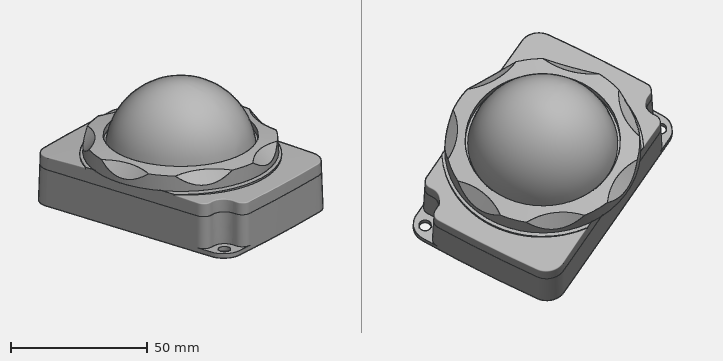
import cadquery as cq
import math

LENGTH = 91.5
WIDTH = 63.1
END_BOW = 0.8
CORNER_RADIUS = 7.3
BOX_HEIGHT = 22.0
DRAFT_ANGLE = 1.5
PARTING_Z = 14.5
EAR_THICKNESS = 1.8
ROOF_MID_Z = 20.1
ROOF_END_Z = 19.0
ROOF_EDGE_RADIUS = 0.4
PAD_RADIUS = 37.1

SCREW_X = 40.0
SCREW_Y = 26.45
SCREW_HOLE_DIAMETER = 4.6
NOTCH_RADIUS = 4.85
NOTCH_LIP_RADIUS = 3.5
LIP_SEARCH_REACH = 1.4

DOME_RADIUS = 27.8
TOP_Z = 49.0
NECK_DIAMETER = 61.95
RING_DIAMETER = 72.0
RING_TOP_DIAMETER = 71.2
RING_BOTTOM_Z = 20.9
RING_RIM_Z = 26.8
RING_LIP_Z = 27.5
RING_BORE_DIAMETER = 56.9
GROOVE_FLOOR_Z = 25.1

GRIP_COUNT = 7
GRIP_RADIUS = 41.2
GRIP_SLOPE = 45.0
GRIP_LENGTH = 18.3
GRIP_RIM_Z = 22.7

half_length = LENGTH / 2
half_width = WIDTH / 2
end_x = half_length - END_BOW


def drafted_box():
    """Box with bowed ends and rounded corners, leaning inward going up."""
    outline = (
        cq.Workplane("XY")
        .moveTo(-end_x, -half_width)
        .lineTo(end_x, -half_width)
        .threePointArc((half_length, 0), (end_x, half_width))
        .lineTo(-end_x, half_width)
        .threePointArc((-half_length, 0), (-end_x, -half_width))
        .close()
    )
    box = outline.extrude(BOX_HEIGHT, taper=DRAFT_ANGLE)
    return box.edges("%BSPLINE").fillet(CORNER_RADIUS)


def crown_space():
    """Everything below the crowned roof, which curves along X only."""
    return (
        cq.Workplane("XZ")
        .moveTo(-half_length, 0)
        .lineTo(half_length, 0)
        .lineTo(half_length, ROOF_END_Z)
        .threePointArc((0, ROOF_MID_Z), (-half_length, ROOF_END_Z))
        .close()
        .extrude(half_width, both=True)
    )


def corner_notch():
    """Cutter over the +X, -Y ear, concentric with its screw hole and open outward."""
    outer_x = LENGTH
    outer_y = -WIDTH
    arc_mid = NOTCH_RADIUS * math.sqrt(0.5)
    return (
        cq.Workplane("XY", origin=(0, 0, EAR_THICKNESS))
        .moveTo(SCREW_X, -SCREW_Y + NOTCH_RADIUS)
        .threePointArc(
            (SCREW_X - arc_mid, -SCREW_Y + arc_mid),
            (SCREW_X - NOTCH_RADIUS, -SCREW_Y),
        )
        .lineTo(SCREW_X - NOTCH_RADIUS, outer_y)
        .lineTo(outer_x, outer_y)
        .lineTo(outer_x, -SCREW_Y + NOTCH_RADIUS)
        .close()
        .extrude(BOX_HEIGHT, taper=-DRAFT_ANGLE)
    )


def around(x, y):
    """Selector for upright edges near a point of the plan, above the ear."""
    reach = LIP_SEARCH_REACH
    low_corner = (x - reach, y - reach, EAR_THICKNESS + reach)
    high_corner = (x + reach, y + reach, ROOF_END_Z - reach)
    return cq.selectors.BoxSelector(low_corner, high_corner)


def notch_lips(body):
    """The upright edges where the notch walls break through the outer walls."""
    end_lip = around(end_x, -SCREW_Y + NOTCH_RADIUS)
    side_lip = around(SCREW_X - NOTCH_RADIUS, -half_width)
    return body.edges(end_lip + side_lip)


def build_enclosure():
    """Whole outer box, still in one piece across the parting plane."""
    box = drafted_box()
    shell = box.intersect(crown_space())
    half_turn = ((0, 0, 0), (0, 0, 1), 180)

    for _ in range(2):
        shell = shell.cut(corner_notch())
        shell = notch_lips(shell).fillet(NOTCH_LIP_RADIUS)
        shell = shell.rotate(*half_turn)
    shell = shell.faces(">Z").edges().fillet(ROOF_EDGE_RADIUS)

    pad = cq.Workplane("XY").circle(PAD_RADIUS).extrude(ROOF_MID_Z).intersect(box)
    screw_holes = (
        cq.Workplane("XY")
        .pushPoints([(SCREW_X, -SCREW_Y), (-SCREW_X, SCREW_Y)])
        .circle(SCREW_HOLE_DIAMETER / 2)
        .extrude(EAR_THICKNESS)
    )
    return shell.union(pad).cut(screw_holes)


def finger_grip():
    """Cylinder lying along the slope, scooping the ring rim on the +X side."""
    rim_x = RING_DIAMETER / 2
    slope = math.radians(GRIP_SLOPE)
    along = cq.Vector(math.cos(slope), 0, -math.sin(slope))
    outward = cq.Vector(math.sin(slope), 0, math.cos(slope))
    centre = cq.Vector(rim_x, 0, GRIP_RIM_Z) + outward * GRIP_RADIUS
    start = centre - along * (GRIP_LENGTH / 2)
    return cq.Workplane(cq.Solid.makeCylinder(GRIP_RADIUS, GRIP_LENGTH, start, along))


def build_head():
    """Neck, grip ring and dome, standing on the pad."""
    neck_radius = NECK_DIAMETER / 2
    ring_radius = RING_DIAMETER / 2
    bore_radius = RING_BORE_DIAMETER / 2
    dome_centre_z = TOP_Z - DOME_RADIUS
    floor_height = GROOVE_FLOOR_Z - dome_centre_z
    dome_foot = math.sqrt(DOME_RADIUS**2 - floor_height**2)
    diagonal = DOME_RADIUS * math.sqrt(0.5)

    ring = (
        cq.Workplane("XZ")
        .moveTo(0, ROOF_MID_Z)
        .lineTo(neck_radius, ROOF_MID_Z)
        .lineTo(neck_radius, RING_BOTTOM_Z)
        .lineTo(ring_radius, RING_BOTTOM_Z)
        .lineTo(RING_TOP_DIAMETER / 2, RING_RIM_Z)
        .lineTo(bore_radius, RING_LIP_Z)
        .lineTo(bore_radius, GROOVE_FLOOR_Z)
        .lineTo(0, GROOVE_FLOOR_Z)
        .close()
        .revolve(360, (0, 0, 0), (0, 1, 0))
    )
    for i in range(GRIP_COUNT):
        ring = ring.cut(finger_grip().rotate((0, 0, 0), (0, 0, 1), -90 + i * 360 / GRIP_COUNT))

    dome = (
        cq.Workplane("XZ")
        .moveTo(0, GROOVE_FLOOR_Z)
        .lineTo(dome_foot, GROOVE_FLOOR_Z)
        .threePointArc((diagonal, dome_centre_z + diagonal), (0, TOP_Z))
        .close()
        .revolve(360, (0, 0, 0), (0, 1, 0))
    )
    return ring.union(dome)


def below_parting():
    """Block filling the space under the parting plane."""
    return cq.Workplane("XY").rect(2 * LENGTH, 2 * WIDTH).extrude(PARTING_Z)


def build_base(enclosure):
    """Lower part of the enclosure, with the screw ears."""
    return enclosure.intersect(below_parting())


def build_sensor_unit(enclosure):
    """Upper part of the enclosure, carrying the head."""
    cover = enclosure.cut(below_parting())
    return cover.union(build_head())


enclosure = build_enclosure()
base = build_base(enclosure)
sensor_unit = build_sensor_unit(enclosure)
result = cq.Compound.makeCompound([base.solids().val(), sensor_unit.solids().val()])